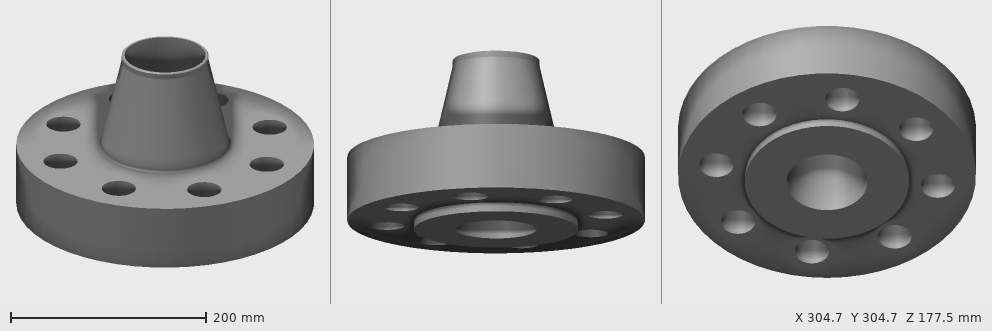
import cadquery as cq
import math

flange_diameter = 304.7
flange_thickness = 66.7
face_diameter = 168.0
face_height = 9.5
overall_height = 177.5

hub_base_diameter = 133.2
neck_diameter = 89.0
neck_length = 6.5
neck_chamfer = 1.0
bore_diameter = 83.0
hub_fillet = 3.0

bolt_count = 8
bolt_hole_diameter = 35.0
bolt_circle_diameter = 228.5

flange_top = face_height + flange_thickness
cone_top = overall_height - neck_length

hub_base_radius = hub_base_diameter / 2
neck_radius = neck_diameter / 2
cone_tilt = math.atan2(hub_base_radius - neck_radius, cone_top - flange_top)
fillet_half_turn = (math.pi / 2 - cone_tilt) / 2
fillet_reach = hub_fillet * math.tan(fillet_half_turn)
flange_touch_radius = hub_base_radius + fillet_reach
fillet_center = (flange_touch_radius, flange_top + hub_fillet)
cone_touch = (
    hub_base_radius - fillet_reach * math.sin(cone_tilt),
    flange_top + fillet_reach * math.cos(cone_tilt),
)
fillet_middle = (
    fillet_center[0] - hub_fillet * math.sin(fillet_half_turn),
    fillet_center[1] - hub_fillet * math.cos(fillet_half_turn),
)


def flange_body():
    """Turn the half section, bore included, about the Z axis."""
    bore_radius = bore_diameter / 2
    face_radius = face_diameter / 2
    flange_radius = flange_diameter / 2
    return (
        cq.Workplane("XZ")
        .moveTo(bore_radius, 0)
        .lineTo(face_radius, 0)
        .lineTo(face_radius, face_height)
        .lineTo(flange_radius, face_height)
        .lineTo(flange_radius, flange_top)
        .lineTo(flange_touch_radius, flange_top)
        .threePointArc(fillet_middle, cone_touch)
        .lineTo(neck_radius, cone_top)
        .lineTo(neck_radius, overall_height - neck_chamfer)
        .lineTo(neck_radius - neck_chamfer, overall_height)
        .lineTo(bore_radius, overall_height)
        .close()
        .revolve(360, (0, 0, 0), (0, 1, 0))
    )


def bolt_holes():
    """Through cutters on the bolt circle, the first one on the +X axis."""
    return (
        cq.Workplane("XY")
        .polarArray(bolt_circle_diameter / 2, 0, 360, bolt_count)
        .circle(bolt_hole_diameter / 2)
        .extrude(flange_top)
    )


result = flange_body().cut(bolt_holes())